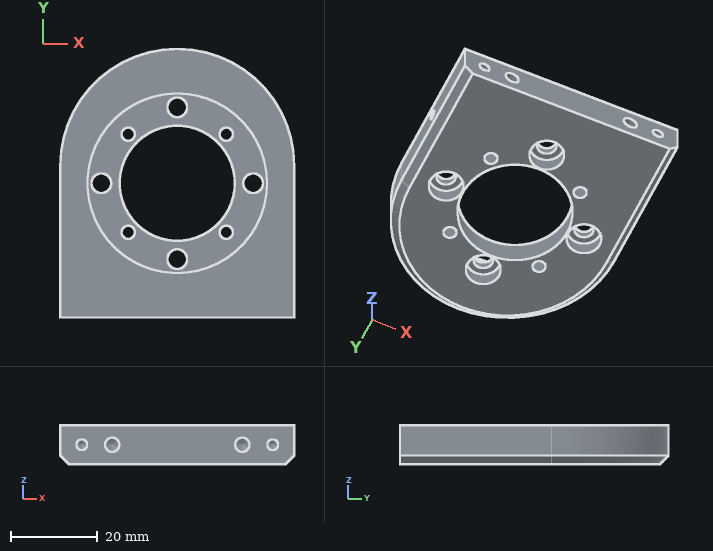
import cadquery as cq
import math

plate_width = 54.0
plate_length = 62.0
plate_height = 9.0
end_radius = plate_width / 2
front_y = -plate_length / 2
end_center_y = plate_length / 2 - end_radius
bottom_chamfer = 2.0

seat_diameter = 41.4
seat_depth = 2.7
bore_diameter = 26.5
floor_z = plate_height - seat_depth

screw_diameter = 4.5
screw_circle_radius = 17.5
screw_head_diameter = 8.0
screw_head_depth = 4.0

small_hole_diameter = 3.0
small_hole_circle_radius = 16.0
small_hole_start_angle = 45.0

holes_per_ring = 4

drill_point_angle = 118.0
front_hole_z = plate_height / 2
outer_front_diameter = 2.5
outer_front_x = 22.0
inner_front_diameter = 3.3
inner_front_x = 15.0
front_hole_depth = 8.0
side_hole_diameter = 2.11
side_hole_setback = 18.0
side_hole_y = front_y + side_hole_setback
side_hole_z = 6.0
side_hole_depth = 8.0


def make_plate():
    """Plate with a half-round end, chamfered underneath except along the flat front."""
    half_width = plate_width / 2
    plate = (
        cq.Workplane("XY")
        .moveTo(-half_width, front_y)
        .lineTo(half_width, front_y)
        .lineTo(half_width, end_center_y)
        .threePointArc((0, plate_length / 2), (-half_width, end_center_y))
        .close()
        .extrude(plate_height)
    )
    return plate.faces("<Z").edges("|Y or %CIRCLE").chamfer(bottom_chamfer)


def cylinder(diameter, height, base_z):
    """Cylinder on the bore axis, rising from the given height."""
    return cq.Workplane("XY").workplane(offset=base_z).circle(diameter / 2).extrude(height)


def ring_of_holes(diameter, height, circle_radius, start_angle=0):
    """Equally spaced cylinders rising from the underside."""
    return (
        cq.Workplane("XY")
        .polarArray(circle_radius, start_angle, 360, holes_per_ring)
        .circle(diameter / 2)
        .extrude(height)
    )


def drilled_hole(diameter, depth, start, direction):
    """Blind hole with a conical drill point beyond its full-diameter depth."""
    radius = diameter / 2
    point_length = radius / math.tan(math.radians(drill_point_angle / 2))
    barrel = cq.Solid.makeCylinder(radius, depth, start, direction)
    point = cq.Solid.makeCone(radius, 0, point_length, start + direction * depth, direction)
    return cq.Workplane(barrel.fuse(point))


result = make_plate()

result = result.cut(cylinder(seat_diameter, seat_depth, floor_z))
result = result.cut(cylinder(bore_diameter, plate_height, 0))

result = result.cut(ring_of_holes(screw_diameter, plate_height, screw_circle_radius))
result = result.cut(ring_of_holes(screw_head_diameter, screw_head_depth, screw_circle_radius))
result = result.cut(
    ring_of_holes(small_hole_diameter, plate_height, small_hole_circle_radius, small_hole_start_angle)
)

into_front = cq.Vector(0, 1, 0)
for side in (-1, 1):
    for diameter, x in ((outer_front_diameter, outer_front_x), (inner_front_diameter, inner_front_x)):
        entry = cq.Vector(side * x, front_y, front_hole_z)
        result = result.cut(drilled_hole(diameter, front_hole_depth, entry, into_front))

side_entry = cq.Vector(-plate_width / 2, side_hole_y, side_hole_z)
result = result.cut(drilled_hole(side_hole_diameter, side_hole_depth, side_entry, cq.Vector(1, 0, 0)))